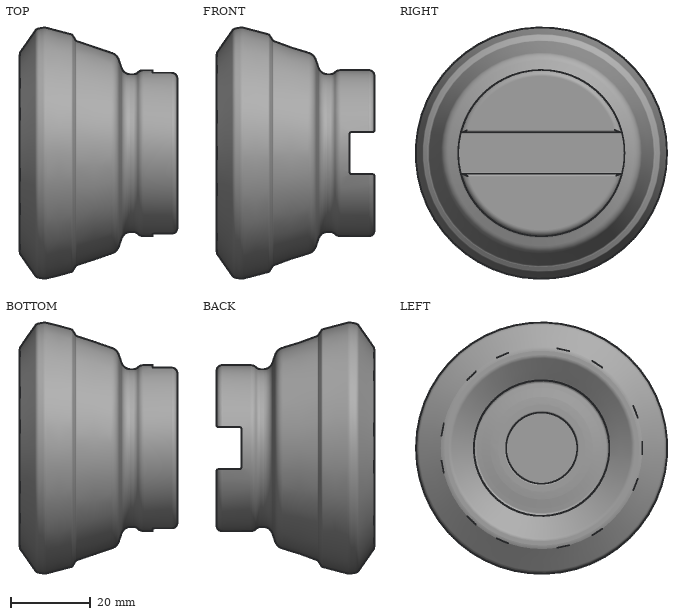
import cadquery as cq

length = 40.0
rim_radius = 31.8

face_edge = 24.6
face_edge_mid = (0.05, 25.05)
flank_start = (0.2, 25.5)
crown_start = (4.0, 30.95)
crown_start_mid = (4.4, 31.35)
crown_flat_start = (4.8, 31.5)
crown_flat_end = (5.85, 31.7)
crown_top = (6.3, rim_radius)
crown_end = (6.8, 31.7)
step_start = (13.1, 30.1)
step_start_mid = (13.35, 29.95)
step_flat_start = (13.55, 29.7)
step_flat_end = (14.1, 28.8)
step_end_mid = (14.25, 28.55)
step_end = (14.5, 28.35)
shoulder_start = (23.3, 25.35)
shoulder_mid = (24.5, 24.65)
shoulder_end = (25.2, 23.5)

neck_radius = 40.0 / 2
tail_radius = 42.0 / 2
neck_entry = (25.9, 21.5)
neck_entry_mid = (26.7, 20.4)
neck_start = 27.9
neck_end = 28.75
neck_exit = (30.0, 20.5)
neck_exit_mid = (29.45, 20.1)
tail_start = 31.35
tail_rise_mid = (30.6, 20.85)
tail_rounding = 1.5

slot_width = 10.55
slot_depth = 6.3
slot_edge_rounding = 0.6
slot_corner_rounding = 0.4

dish_edge = 23.65
dish_edge_mid = (0.05, 23.15)
dish_cone_start = (0.3, 22.6)
dish_cone_end = (3.75, 17.5)
lip_mid = (3.9, 17.3)
lip_end = (4.1, 17.15)
wall_end = (4.8, 17.1)
wall_fillet_mid = (5.35, 16.9)
floor_edge = (5.5, 16.4)
floor_cone_start = (5.4, 15.25)
floor_cone_end = (5.1, 13.0)
floor_cone_mid = (4.99, 12.0)
floor_depth = 4.95
floor_flat_radius = 22.0 / 2
well_top_radius = 9.55
well_depth = 5.35
well_radius = 18.0 / 2
well_edge_mid = (5.1, 9.15)


def make_body():
    """Turn the solid outer profile about the X axis."""
    profile = (
        cq.Workplane("XY")
        .moveTo(0, 0)
        .lineTo(0, face_edge)
        .threePointArc(face_edge_mid, flank_start)
        .lineTo(*crown_start)
        .threePointArc(crown_start_mid, crown_flat_start)
        .lineTo(*crown_flat_end)
        .threePointArc(crown_top, crown_end)
        .lineTo(*step_start)
        .threePointArc(step_start_mid, step_flat_start)
        .lineTo(*step_flat_end)
        .threePointArc(step_end_mid, step_end)
        .lineTo(*shoulder_start)
        .threePointArc(shoulder_mid, shoulder_end)
        .lineTo(*neck_entry)
        .threePointArc(neck_entry_mid, (neck_start, neck_radius))
        .lineTo(neck_end, neck_radius)
        .threePointArc(neck_exit_mid, neck_exit)
        .threePointArc(tail_rise_mid, (tail_start, tail_radius))
        .lineTo(length, tail_radius)
        .lineTo(length, 0)
        .close()
    )
    body = profile.revolve(360, (0, 0, 0), (1, 0, 0))
    return body.faces(">X").edges().fillet(tail_rounding)


def make_dish():
    """Conical dish with a slightly domed floor and a shallow round well at its centre."""
    return (
        cq.Workplane("XY")
        .moveTo(0, 0)
        .lineTo(0, dish_edge)
        .threePointArc(dish_edge_mid, dish_cone_start)
        .lineTo(*dish_cone_end)
        .threePointArc(lip_mid, lip_end)
        .lineTo(*wall_end)
        .threePointArc(wall_fillet_mid, floor_edge)
        .lineTo(*floor_cone_start)
        .lineTo(*floor_cone_end)
        .threePointArc(floor_cone_mid, (floor_depth, floor_flat_radius))
        .lineTo(floor_depth, well_top_radius)
        .threePointArc(well_edge_mid, (well_depth, well_radius))
        .lineTo(well_depth, 0)
        .close()
        .revolve(360, (0, 0, 0), (1, 0, 0))
    )


def make_slot():
    """Slot along Y across the tail, with rounded floor corners and a rounded mouth."""
    half_width = slot_width / 2
    mouth_half_width = half_width + slot_edge_rounding
    mouth_start = length - slot_edge_rounding
    return (
        cq.Workplane("XZ")
        .moveTo(length - slot_depth, -half_width)
        .lineTo(mouth_start, -half_width)
        .radiusArc((length, -mouth_half_width), slot_edge_rounding)
        .lineTo(length, mouth_half_width)
        .radiusArc((mouth_start, half_width), slot_edge_rounding)
        .lineTo(length - slot_depth, half_width)
        .close()
        .extrude(rim_radius, both=True)
        .edges("<X and |Y")
        .fillet(slot_corner_rounding)
    )


result = make_body().cut(make_dish()).cut(make_slot())